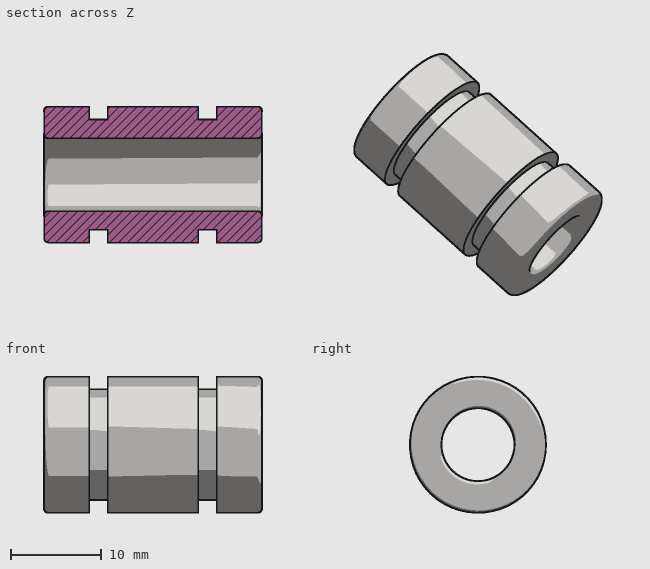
import cadquery as cq

length = 24.0
outer_diameter = 15.0
bore_diameter = 8.0
groove_diameter = 12.2
groove_width = 2.0
groove_offset = 5.0
edge_radius = 0.5

half_length = length / 2
groove_center = half_length - groove_offset - groove_width / 2


def cylinder(diameter, width, center_x):
    """Solid cylinder along X, centred on center_x."""
    start_x = center_x - width / 2
    return cq.Workplane("YZ").workplane(offset=start_x).circle(diameter / 2).extrude(width)


def rounded_sleeve():
    """Plain sleeve with the outer and bore edges rounded at both ends."""
    sleeve = cylinder(outer_diameter, length, 0).cut(cylinder(bore_diameter, length, 0))
    return sleeve.faces("<X or >X").edges().fillet(edge_radius)


def retaining_groove(center_x):
    """Ring to remove for one square-walled groove."""
    ring = cylinder(outer_diameter, groove_width, center_x)
    return ring.cut(cylinder(groove_diameter, groove_width, center_x))


result = rounded_sleeve()
for side in (-1, 1):
    result = result.cut(retaining_groove(side * groove_center))